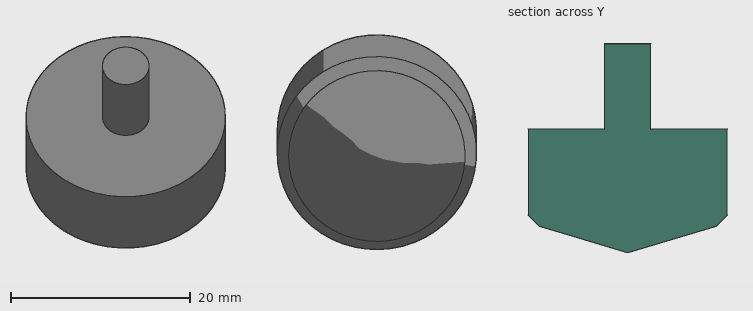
import cadquery as cq

total_height = 23.3
body_diameter = 22.2
stem_diameter = 5.2
stem_length = 9.48
chamfer_size = 1.28
cone_height = 2.94

body_radius = body_diameter / 2
stem_radius = stem_diameter / 2
cone_radius = body_radius - chamfer_size
body_bottom = cone_height + chamfer_size
body_top = total_height - stem_length

half_section = (
    cq.Workplane("XZ")
    .moveTo(0, 0)
    .lineTo(cone_radius, cone_height)
    .lineTo(body_radius, body_bottom)
    .lineTo(body_radius, body_top)
    .lineTo(stem_radius, body_top)
    .lineTo(stem_radius, total_height)
    .lineTo(0, total_height)
    .close()
)

result = half_section.revolve(360, (0, 0, 0), (0, 1, 0))